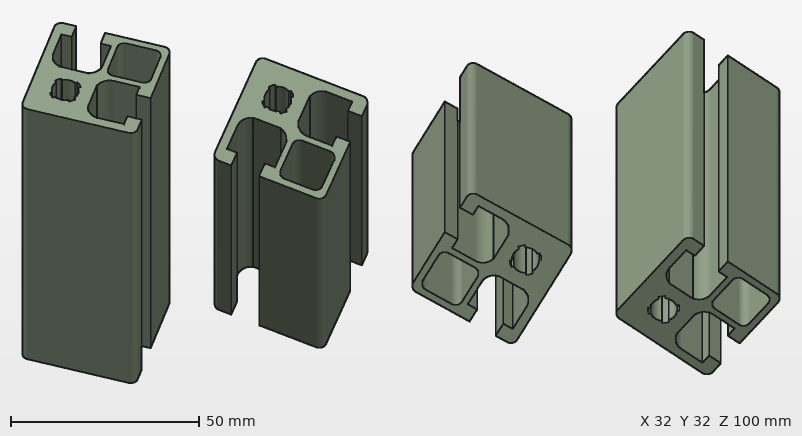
import cadquery as cq

side = 32.0
length = 100.0
outer_radius = 2.0

slot_offset = 9.5
mouth_width = 8.0
cavity_width = 13.8
lip_thickness = 4.0
slot_depth = 15.0
cavity_radius = 3.8

chamber_size = 12.0
chamber_wall = 1.9
chamber_radius = 2.0

core_radius = 3.6
groove_tip_radius = 4.2
groove_width = 1.8
groove_angles = (45, 135)

half_side = side / 2
slot_center = slot_offset - half_side
chamber_center = half_side - chamber_wall - chamber_size / 2


def prism(size_x, size_y, center_x, center_y):
    """Full-length rectangular bar around the given centre."""
    return cq.Workplane("XY").center(center_x, center_y).rect(size_x, size_y).extrude(length)


def top_slot():
    """T-slot void opening on +Y, with a rounded floor."""
    cavity_height = slot_depth - lip_thickness
    cavity_y = half_side - lip_thickness - cavity_height / 2
    cavity = prism(cavity_width, cavity_height, slot_center, cavity_y)
    cavity = cavity.edges("|Z and <Y").fillet(cavity_radius)
    mouth = prism(mouth_width, slot_depth, slot_center, half_side - slot_depth / 2)
    return cavity.union(mouth)


def side_slot():
    """T-slot void opening on +X: the top slot with X and Y exchanged."""
    return top_slot().mirror("YZ").rotate((0, 0, 0), (0, 0, 1), -90)


def chamber():
    """Closed square void with rounded corners."""
    void = prism(chamber_size, chamber_size, chamber_center, chamber_center)
    return void.edges("|Z").fillet(chamber_radius)


def core_hole():
    """Round hole widened by grooves along both diagonals."""
    hole = cq.Workplane("XY").circle(core_radius).extrude(length)
    tip_limit = cq.Workplane("XY").circle(groove_tip_radius).extrude(length)
    for angle in groove_angles:
        bar = prism(2 * groove_tip_radius, groove_width, 0, 0)
        bar = bar.rotate((0, 0, 0), (0, 0, 1), angle)
        hole = hole.union(bar.intersect(tip_limit))
    return hole.translate((slot_center, slot_center, 0))


body = prism(side, side, 0, 0).edges("|Z").fillet(outer_radius)
for void in (top_slot(), side_slot(), chamber(), core_hole()):
    body = body.cut(void)

result = body